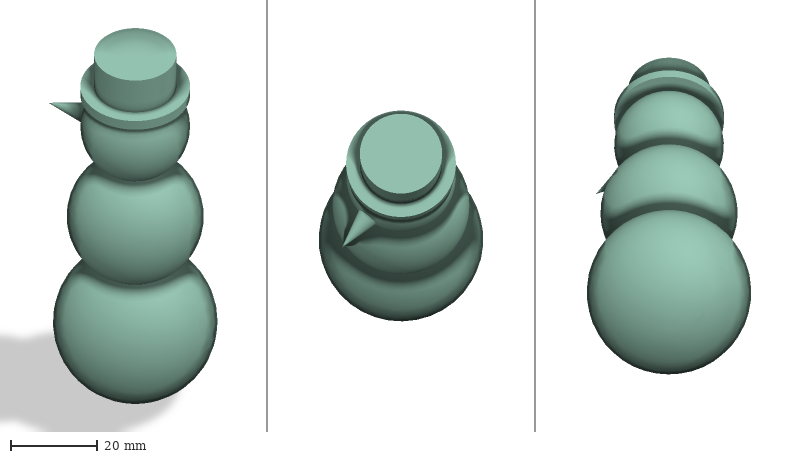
import cadquery as cq

BASE_RADIUS = 19.1
BELLY_RADIUS = 15.9
HEAD_RADIUS = 12.7
BASE_HEIGHT = BASE_RADIUS
BELLY_HEIGHT = 50.7
HEAD_HEIGHT = 77.7

TOTAL_HEIGHT = 99.3
BRIM_DIAMETER = 2 * HEAD_RADIUS
BRIM_THICKNESS = 2.6
CROWN_DIAMETER = 19.1
CROWN_HEIGHT = 9.5

NOSE_BASE_RADIUS = 2.6
NOSE_TIP_REACH = 21.8
NOSE_LENGTH = 9.6


def ball(radius, height):
    return cq.Workplane("XY").sphere(radius).translate((0, 0, height))


def disc(diameter, thickness, bottom):
    return cq.Workplane("XY").workplane(offset=bottom).circle(diameter / 2).extrude(thickness)


def hat():
    crown_bottom = TOTAL_HEIGHT - CROWN_HEIGHT
    brim = disc(BRIM_DIAMETER, BRIM_THICKNESS, crown_bottom - BRIM_THICKNESS)
    crown = disc(CROWN_DIAMETER, CROWN_HEIGHT, crown_bottom)
    return brim.union(crown)


def nose():
    base_centre = cq.Vector(NOSE_LENGTH - NOSE_TIP_REACH, 0, HEAD_HEIGHT)
    toward_tip = cq.Vector(-1, 0, 0)
    cone = cq.Solid.makeCone(NOSE_BASE_RADIUS, 0, NOSE_LENGTH, base_centre, toward_tip)
    return cq.Workplane("XY").add(cone)


body = (
    ball(BASE_RADIUS, BASE_HEIGHT)
    .union(ball(BELLY_RADIUS, BELLY_HEIGHT))
    .union(ball(HEAD_RADIUS, HEAD_HEIGHT))
)
result = body.union(hat()).union(nose())